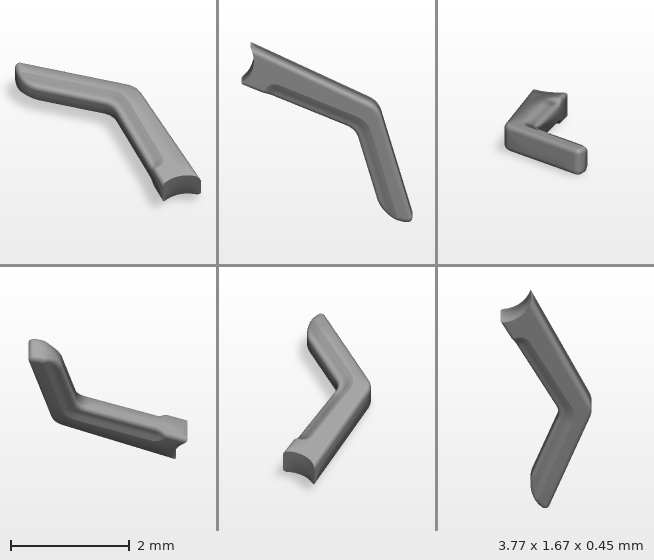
import cadquery as cq
import math

LENGTH = 3.77
THICKNESS = 0.45
LEG_ANGLE = 47.8
ARM_TAPER = 2.8

OUTER_CORNER_X = 1.38
OUTER_BEND_RADIUS = 0.377
LEG_WIDTH = 0.483
ARM_INNER_POINT = (3.61, -0.64)
INNER_BEND_RADIUS = 0.34
TIP_RADIUS = 0.565
TIP_START_X = 0.685
TIP_CORNER_RADIUS = 0.08
SEAT_RADIUS = 0.513
SEAT_CENTER_Y = -0.407

OUTER_RIM_RADIUS = 0.08
INNER_RIM_RADIUS = 0.06

RELIEF_INSET = 0.065
RELIEF_DEPTH = 0.068
RELIEF_WIDTH = 0.18
RELIEF_SLOPE = 26.6
RELIEF_BLEND_RADIUS = 0.18
RELIEF_BEND_RADIUS = 0.245
RELIEF_END_X = 3.055
OVERCUT = 0.113

UP = cq.Vector(0, 0, 1)
TOP_FACE = UP * (THICKNESS / 2)


def direction(angle):
    """Unit vector in the XY plane, angle in radians from +X."""
    return cq.Vector(math.cos(angle), math.sin(angle))


def meet(point_a, dir_a, point_b, dir_b):
    """Crossing point of two lines in the XY plane."""
    along = (point_b - point_a).cross(dir_b).z / dir_a.cross(dir_b).z
    return point_a + dir_a * along


leg_slope = math.radians(LEG_ANGLE)
arm_slope = -math.radians(ARM_TAPER)
leg_dir = direction(leg_slope)
leg_normal = UP.cross(leg_dir)
arm_dir = direction(arm_slope)
arm_normal = UP.cross(arm_dir)

outer_corner = cq.Vector(OUTER_CORNER_X, 0)
leg_inner_point = outer_corner - leg_normal * LEG_WIDTH
arm_inner_point = cq.Vector(*ARM_INNER_POINT)
inner_corner = meet(leg_inner_point, leg_dir, arm_inner_point, arm_dir)
arm_end = arm_inner_point + arm_dir * ((LENGTH - arm_inner_point.x) / arm_dir.x)

tip_start = leg_inner_point + leg_dir * ((TIP_START_X - leg_inner_point.x) / leg_dir.x)
tip_center = tip_start + leg_normal * TIP_RADIUS
tip_start_angle = leg_slope - math.pi / 2
tip_stop_angle = tip_start_angle - math.acos(1 - LEG_WIDTH / TIP_RADIUS)
tip_lowest_angle = -math.pi / 2


def tip_point(angle):
    return tip_center + direction(angle) * TIP_RADIUS


tip_corner = tip_point(tip_stop_angle)


def extrude_outline(inner_points, arc_start_angle):
    """Slab bounded by the outer edges, the inner points and the tip arc from the given angle."""
    arc_middle = tip_point((arc_start_angle + tip_stop_angle) / 2)
    arc_start = tip_point(arc_start_angle)
    outline = cq.Workplane("XY", origin=(0, 0, -THICKNESS / 2)).moveTo(tip_corner.x, tip_corner.y)
    for point in [outer_corner, cq.Vector(LENGTH, 0), *inner_points, arc_start]:
        outline = outline.lineTo(point.x, point.y)
    outline = outline.threePointArc((arc_middle.x, arc_middle.y), (tip_corner.x, tip_corner.y))
    slab = outline.close().extrude(THICKNESS)
    slab = round_corner(slab, outer_corner, OUTER_BEND_RADIUS)
    return round_corner(slab, tip_corner, TIP_CORNER_RADIUS)


def round_corner(slab, corner, radius):
    nearest = cq.selectors.NearestToPointSelector((corner.x, corner.y, 0))
    return slab.edges("|Z").edges(nearest).fillet(radius)


def round_rims(body, radius):
    """Round the rims of every side wall except the flat end of the arm."""
    rims = []
    for face in body.faces().vals():
        box = face.BoundingBox()
        is_wall = box.zmin < 0 < box.zmax
        is_arm_end = face.Center().x > LENGTH - 3.77e-05
        if is_wall and not is_arm_end:
            rims += [edge for edge in face.Edges() if abs(edge.Center().z) > THICKNESS / 4]
    return body.newObject(rims).fillet(radius)


def make_outer_envelope():
    """Slab that carries the larger rounding of the outer rims and reaches past the inner edge."""
    lowest = tip_point(tip_lowest_angle)
    slab = extrude_outline([cq.Vector(LENGTH, lowest.y)], tip_lowest_angle)
    return round_rims(slab, OUTER_RIM_RADIUS)


def relief_section(plane, inner_limit):
    """Relief section: local x is the distance into the plate, local y the height over the face."""
    slope = math.radians(RELIEF_SLOPE)
    ramp_foot = RELIEF_WIDTH - RELIEF_DEPTH / math.tan(slope)
    floor_end = ramp_foot - RELIEF_BLEND_RADIUS * math.tan(slope / 2)

    def blend_point(angle):
        return (
            floor_end + RELIEF_BLEND_RADIUS * math.sin(angle),
            RELIEF_BLEND_RADIUS * (1 - math.cos(angle)) - RELIEF_DEPTH,
        )

    return (
        cq.Workplane(plane)
        .moveTo(inner_limit, OVERCUT)
        .lineTo(inner_limit, -RELIEF_DEPTH)
        .lineTo(floor_end, -RELIEF_DEPTH)
        .threePointArc(blend_point(slope / 2), blend_point(slope))
        .lineTo(RELIEF_WIDTH + OVERCUT / math.tan(slope), OVERCUT)
        .close()
    )


def make_relief():
    """Cutter for the upper face, following the inner edge and turning out at the arm end."""
    leg_line = leg_inner_point + leg_normal * RELIEF_INSET
    arm_line = arm_inner_point + arm_normal * RELIEF_INSET
    corner = meet(leg_line, leg_dir, arm_line, arm_dir)
    bend_angle = leg_slope - arm_slope
    tangent = RELIEF_BEND_RADIUS * math.tan(bend_angle / 2)
    bend_start = corner - leg_dir * tangent
    bend_stop = corner + arm_dir * tangent
    run_end = arm_line + arm_dir * ((RELIEF_END_X - arm_line.x) / arm_dir.x)

    leg_plane = cq.Plane(bend_start + TOP_FACE, leg_normal, leg_normal.cross(UP))
    arm_plane = cq.Plane(run_end + TOP_FACE, arm_normal, arm_normal.cross(UP))
    turn_plane = cq.Plane(run_end + TOP_FACE, arm_dir, arm_dir.cross(UP))
    leg_run = relief_section(leg_plane, -OVERCUT).extrude(-LENGTH / 2)
    bend = relief_section(leg_plane, -OVERCUT).revolve(
        math.degrees(bend_angle), (-RELIEF_BEND_RADIUS, 0.038), (-RELIEF_BEND_RADIUS, 0)
    )
    arm_run = relief_section(arm_plane, -OVERCUT).extrude(-(run_end - bend_stop).Length)
    turn = relief_section(turn_plane, 0).revolve(90, (0, 0), (0, 1))
    turn_run = relief_section(turn_plane, 0).extrude(OVERCUT)
    return leg_run.union(bend).union(arm_run).union(turn).union(turn_run)


def make_seat():
    """Cylinder that hollows the free end of the arm and meets its outer edge at full length."""
    center_x = LENGTH + math.sqrt(SEAT_RADIUS**2 - SEAT_CENTER_Y**2)
    seat = cq.Workplane("XY", origin=(center_x, SEAT_CENTER_Y, 0)).circle(SEAT_RADIUS)
    return seat.extrude(THICKNESS, both=True)


plate = extrude_outline([arm_end, inner_corner], tip_start_angle)
plate = round_corner(plate, inner_corner, INNER_BEND_RADIUS)
relief = make_relief()
plate = plate.cut(relief).cut(relief.mirror("XY"))
plate = round_rims(plate, INNER_RIM_RADIUS)
result = plate.intersect(make_outer_envelope()).cut(make_seat())